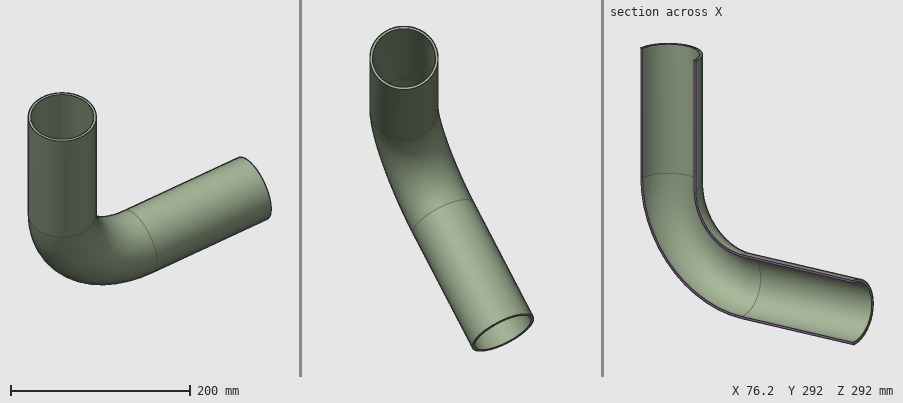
import cadquery as cq

overall_length = 292.0
outer_diameter = 76.2
inner_diameter = 70.0
leg_length = 152.5

bend_radius = overall_length - leg_length - outer_diameter / 2
bend_angle = 90


def pipe_section(plane):
    """Ring-shaped cross-section of the pipe, centred on the plane's origin."""
    return cq.Workplane(plane).circle(outer_diameter / 2).circle(inner_diameter / 2)


upper_joint = cq.Plane.XY(origin=(0, 0, bend_radius))
vertical_leg = pipe_section(upper_joint).extrude(leg_length)

lower_joint = cq.Plane(origin=(0, bend_radius, 0), xDir=(1, 0, 0), normal=(0, 1, 0))
horizontal_leg = pipe_section(lower_joint).extrude(leg_length)

bend = pipe_section(upper_joint).revolve(bend_angle, (0, bend_radius, 0), (1, bend_radius, 0))

result = vertical_leg.union(bend).union(horizontal_leg)